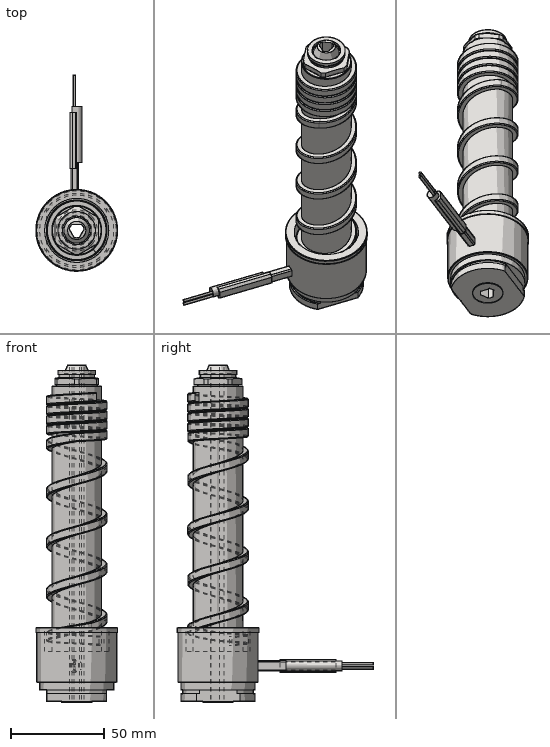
import cadquery as cq
import math

TOTAL_HEIGHT = 181.3
RIM_DIAMETER = 44.0
TOTAL_DEPTH = 105.5

BOTTOM_PAD_TOP = 0.5
BASE_TOP = 4.7
BASE_NECK_TOP = 6.7
STEP_TOP = 10.7
BODY_TOP = 37.5
COLLAR_TOP = 40.2
TUBE_TOP = 170.0
NUT_BOTTOM = 170.8
NUT_RIM = 173.9
NUT_TOP = 174.6
FLANGE_BOTTOM = 176.2
FLANGE_TOP = 178.4

BOTTOM_PAD_RADIUS = 8.2
BASE_RADIUS = 20.0
BASE_NECK_RADIUS = 19.0
BODY_RADIUS = 21.5
RIM_RADIUS = RIM_DIAMETER / 2
TUBE_RADIUS = 13.5
NUT_NECK_RADIUS = 11.0
TIP_NECK_RADIUS = 9.6
FLANGE_RADIUS = 10.2
EDGE_CHAMFER = 0.4

BASE_FLAT_WIDTH = 32.3

MOUTH_RADIUS = 17.2
MOUTH_FLOOR = 27.2

NUT_ACROSS_FLATS = 23.5
NUT_CORNER_DIAMETER = 26.0
NUT_CORNER_RADIUS = NUT_CORNER_DIAMETER / 2

GROOVE_RADIUS = 7.6
GROOVE_FLOOR = 176.8
CONE_TOP_RADIUS = 4.9
CONE_BASE_RADIUS = 6.9

BORE_APOTHEM = 3.0
BORE_CORNER_RADIUS = 4.0

COIL_RADIUS = 16.3
COIL_CHAMFER = 0.5
COIL_EMBED = 0.5
COIL_STRIP_HEIGHT = 4.9
COIL_TOP = 166.6
COIL_START_ANGLE = -49.0
TIGHT_PITCH = 5.3
LOOSE_PITCH = 27.0
MEDIUM_PITCH = (TIGHT_PITCH + LOOSE_PITCH) / 2
UPPER_TIGHT_SWEEP = 1485.0
LOOSE_SWEEP = 1285.0
CHANGE_SWEEP = 122.0
LOWER_TIGHT_SWEEP = 150.0

CABLE_HEIGHT = 19.5
CABLE_START = 20.0
LEAD_X = (-3.0, 0.9)
LEAD_THICKNESS = 5.6
LEAD_CHAMFER = 0.7
BLOCK_X = (-3.6, 0.5)
BLOCK_THICKNESS = 6.9
BLOCK_CHAMFER = 1.3
BLOCK_START = 33.2
BLOCK_LENGTH = 30.3
SLEEVE_RADIUS = 2.7
SLEEVE_X = 0.2
SLEEVE_START = 36.5
WIRE_RADIUS = 0.7
WIRE_X = -1.3
WIRE_SPACING = 2.4
WIRE_START = 65.3
WIRE_END = TOTAL_DEPTH - RIM_RADIUS


def disc(radius, bottom, top):
    return cq.Workplane("XY").workplane(offset=bottom).circle(radius).extrude(top - bottom)


def turned(profile):
    """Revolve a closed outline of (radius, height) points about the Z axis."""
    return cq.Workplane("XZ").polyline(profile).close().revolve(360, (0, 0, 0), (0, 1, 0))


def make_base():
    base = disc(BASE_RADIUS, BOTTOM_PAD_TOP, BASE_TOP)
    base = base.union(disc(BASE_NECK_RADIUS, BASE_TOP, BASE_NECK_TOP))
    flats = cq.Workplane("XY").rect(BASE_FLAT_WIDTH, 2 * BASE_RADIUS).extrude(BASE_NECK_TOP)
    base = base.intersect(flats)
    base = base.union(disc(BOTTOM_PAD_RADIUS, 0, BOTTOM_PAD_TOP))
    return base.union(disc(BASE_RADIUS, BASE_NECK_TOP, STEP_TOP))


def make_collar():
    barrel = disc(BODY_RADIUS, STEP_TOP, BODY_TOP).faces("<Z").chamfer(EDGE_CHAMFER)
    rim = disc(RIM_RADIUS, BODY_TOP, COLLAR_TOP).faces(">Z").chamfer(EDGE_CHAMFER)
    return barrel.union(rim).cut(disc(MOUTH_RADIUS, MOUTH_FLOOR, COLLAR_TOP))


def make_nut():
    hex_diameter = NUT_ACROSS_FLATS / math.cos(math.pi / 6)
    nut = (
        cq.Workplane("XY")
        .workplane(offset=NUT_BOTTOM)
        .transformed(rotate=(0, 0, 30))
        .polygon(6, hex_diameter)
        .extrude(NUT_TOP - NUT_BOTTOM)
    )
    blank = turned([
        (0, NUT_BOTTOM),
        (NUT_CORNER_RADIUS, NUT_BOTTOM),
        (NUT_CORNER_RADIUS, NUT_RIM),
        (TIP_NECK_RADIUS, NUT_TOP),
        (0, NUT_TOP),
    ])
    return nut.intersect(blank)


def make_tip():
    neck = disc(TIP_NECK_RADIUS, NUT_TOP, FLANGE_BOTTOM)
    flange = disc(FLANGE_RADIUS, FLANGE_BOTTOM, FLANGE_TOP)
    groove = disc(GROOVE_RADIUS, GROOVE_FLOOR, FLANGE_TOP)
    cone = turned([
        (0, GROOVE_FLOOR),
        (CONE_BASE_RADIUS, GROOVE_FLOOR),
        (CONE_TOP_RADIUS, TOTAL_HEIGHT),
        (0, TOTAL_HEIGHT),
    ])
    return neck.union(flange).cut(groove).union(cone)


def make_bore():
    triangle = (
        cq.Workplane("XY")
        .transformed(rotate=(0, 0, -90))
        .polygon(3, 4 * BORE_APOTHEM)
        .extrude(TOTAL_HEIGHT)
    )
    return triangle.intersect(disc(BORE_CORNER_RADIUS, 0, TOTAL_HEIGHT))


def coil_stretch(pitch, sweep_angle, top, end_angle):
    """Wind a stretch upward so that the strip's top edge ends at the given height and angle."""
    rise = pitch * sweep_angle / 360
    inner_radius = TUBE_RADIUS - COIL_EMBED
    path = cq.Wire.makeHelix(pitch, rise, inner_radius)
    strip = (
        cq.Workplane("XZ")
        .moveTo(inner_radius, -COIL_STRIP_HEIGHT)
        .lineTo(COIL_RADIUS - COIL_CHAMFER, -COIL_STRIP_HEIGHT)
        .lineTo(COIL_RADIUS, COIL_CHAMFER - COIL_STRIP_HEIGHT)
        .lineTo(COIL_RADIUS, -COIL_CHAMFER)
        .lineTo(COIL_RADIUS - COIL_CHAMFER, 0)
        .lineTo(inner_radius, 0)
        .close()
        .sweep(cq.Workplane(path), isFrenet=True)
    )
    return strip.rotate((0, 0, 0), (0, 0, 1), end_angle - sweep_angle).translate((0, 0, top - rise))


def make_coiled_tube():
    coiled_tube = disc(TUBE_RADIUS, STEP_TOP, TUBE_TOP).faces(">Z").chamfer(EDGE_CHAMFER)
    stretches = [
        (TIGHT_PITCH, UPPER_TIGHT_SWEEP),
        (MEDIUM_PITCH, CHANGE_SWEEP),
        (LOOSE_PITCH, LOOSE_SWEEP),
        (MEDIUM_PITCH, CHANGE_SWEEP),
        (TIGHT_PITCH, LOWER_TIGHT_SWEEP),
    ]
    top = COIL_TOP
    angle = COIL_START_ANGLE
    for pitch, sweep_angle in stretches:
        coiled_tube = coiled_tube.union(coil_stretch(pitch, sweep_angle, top, angle))
        top -= pitch * sweep_angle / 360
        angle -= sweep_angle
    return coiled_tube


def chamfered_bar(x_range, thickness, chamfer, start, length):
    left, right = x_range
    return (
        cq.Workplane("XY")
        .box(right - left, length, thickness)
        .edges("|Y")
        .chamfer(chamfer)
        .translate(((left + right) / 2, start + length / 2, CABLE_HEIGHT))
    )


def rod(radius, x, z, start, end):
    return cq.Workplane("XZ", origin=(x, start, z)).circle(radius).extrude(start - end)


def make_cable():
    lead = chamfered_bar(LEAD_X, LEAD_THICKNESS, LEAD_CHAMFER, CABLE_START, SLEEVE_START - CABLE_START)
    block = chamfered_bar(BLOCK_X, BLOCK_THICKNESS, BLOCK_CHAMFER, BLOCK_START, BLOCK_LENGTH)
    sleeve = rod(SLEEVE_RADIUS, SLEEVE_X, CABLE_HEIGHT, SLEEVE_START, SLEEVE_START + BLOCK_LENGTH)
    cable = lead.union(block).union(sleeve)
    for side in (-1, 1):
        wire_z = CABLE_HEIGHT + side * WIRE_SPACING / 2
        cable = cable.union(rod(WIRE_RADIUS, WIRE_X, wire_z, WIRE_START, WIRE_END))
    return cable


nut_neck = disc(NUT_NECK_RADIUS, TUBE_TOP, NUT_BOTTOM)

body = make_coiled_tube()
for section in (make_base(), make_collar(), nut_neck, make_nut(), make_tip(), make_cable()):
    body = body.union(section)

result = body.cut(make_bore())